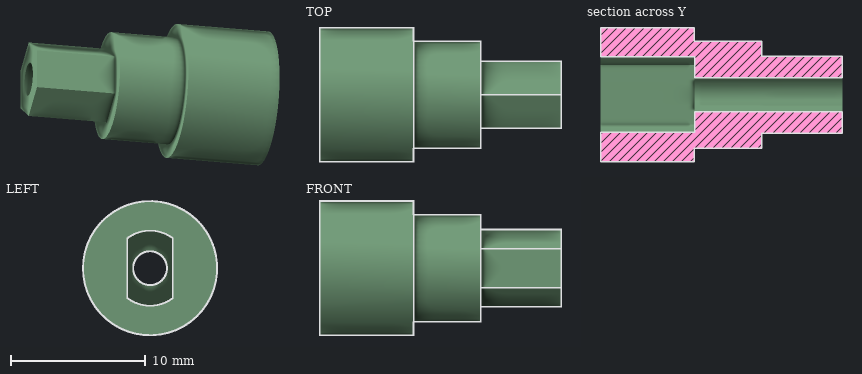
import cadquery as cq
import math

total_length = 18.0
body_length = 7.0
body_diameter = 10.0
neck_length = 5.0
neck_diameter = 8.0
hex_across_flats = 5.0
bore_diameter = 2.5
socket_diameter = 5.6
socket_width = 3.4
socket_depth = body_length

neck_end = body_length + neck_length
hex_length = total_length - neck_end
hex_across_corners = hex_across_flats / math.cos(math.radians(30))


def cylinder(start, length, diameter):
    """Round bar along X, beginning at X = start."""
    return cq.Workplane("YZ", origin=(start, 0, 0)).circle(diameter / 2).extrude(length)


def hex_drive():
    """Hexagonal bar with flats facing +Y and -Y, corners up and down."""
    bar = cq.Workplane("YZ", origin=(neck_end, 0, 0)).polygon(6, hex_across_corners).extrude(hex_length)
    return bar.rotate((0, 0, 0), (1, 0, 0), 90)


def socket():
    """Blind double-D socket: a round pocket cut off by two flats facing Y."""
    flats = cq.Workplane("YZ").rect(socket_width, socket_diameter).extrude(socket_depth)
    return cylinder(0, socket_depth, socket_diameter).intersect(flats)


body = cylinder(0, body_length, body_diameter)
neck = cylinder(body_length, neck_length, neck_diameter)
bore = cylinder(0, total_length, bore_diameter)

result = body.union(neck).union(hex_drive()).cut(socket()).cut(bore)